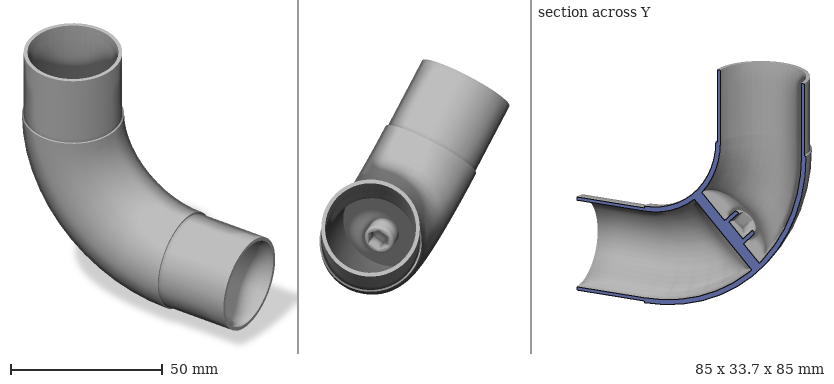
import cadquery as cq
import math

OVERALL = 85.0
SPIGOT_LENGTH = 25.0
BEND_DIAMETER = 33.7
SPIGOT_DIAMETER = 32.5
BORE_DIAMETER = 29.9

WEB_HALF_THICKNESS = 2.0
SCREW_RADIUS_FROM_PIVOT = 45.0
HEAD_DIAMETER = 10.0
HEAD_HEIGHT = 6.0
HEAD_FILLET = 0.9
SOCKET_ACROSS_FLATS = 7.0
SOCKET_DEPTH = 5.0
SOCKET_TURN = 19.0

BEND_CENTRE = OVERALL - SPIGOT_LENGTH
BEND_RADIUS = BEND_CENTRE - BEND_DIAMETER / 2
END_CENTRE = BEND_DIAMETER / 2
MID_BEND = math.sqrt(0.5)


def bend(diameter):
    """Quarter torus from the vertical leg round to the horizontal leg."""
    return (
        cq.Workplane("XY", origin=(END_CENTRE, 0, BEND_CENTRE))
        .circle(diameter / 2)
        .revolve(90, (BEND_RADIUS, 0, 0), (BEND_RADIUS, -1, 0))
    )


def legs(diameter):
    """The two straight ends, one pointing up and one pointing along X."""
    upright = (
        cq.Workplane("XY", origin=(END_CENTRE, 0, BEND_CENTRE))
        .circle(diameter / 2)
        .extrude(SPIGOT_LENGTH)
    )
    level = (
        cq.Workplane("YZ", origin=(BEND_CENTRE, 0, END_CENTRE))
        .circle(diameter / 2)
        .extrude(SPIGOT_LENGTH)
    )
    return upright.union(level)


def mid_plane(radius_from_pivot):
    """Plane halving the bend; its normal looks back up into the vertical leg."""
    place = BEND_CENTRE - radius_from_pivot * MID_BEND
    return cq.Plane(origin=(place, 0, place), xDir=(0, 1, 0), normal=(-1, 0, 1))


def web():
    """Solid partition following the bend, equally thick on both sides of its middle."""
    slab = (
        cq.Workplane(mid_plane(BEND_RADIUS))
        .circle(BEND_DIAMETER / 2)
        .extrude(WEB_HALF_THICKNESS, both=True)
    )
    return slab.intersect(bend(BEND_DIAMETER))


def screw_head():
    """Round head with a rounded rim and a hexagon socket."""
    head = (
        cq.Workplane(mid_plane(SCREW_RADIUS_FROM_PIVOT))
        .circle(HEAD_DIAMETER / 2)
        .extrude(WEB_HALF_THICKNESS + HEAD_HEIGHT)
        .faces(cq.selectors.DirectionMinMaxSelector(cq.Vector(-1, 0, 1)))
        .edges()
        .fillet(HEAD_FILLET)
    )
    socket = (
        cq.Workplane(mid_plane(SCREW_RADIUS_FROM_PIVOT))
        .workplane(offset=WEB_HALF_THICKNESS + HEAD_HEIGHT - SOCKET_DEPTH)
        .transformed(rotate=(0, 0, SOCKET_TURN))
        .polygon(6, SOCKET_ACROSS_FLATS, circumscribed=True)
        .extrude(SOCKET_DEPTH)
    )
    return head.cut(socket)


outside = bend(BEND_DIAMETER).union(legs(SPIGOT_DIAMETER))
bore = bend(BORE_DIAMETER).union(legs(BORE_DIAMETER))
cavity = bore.cut(web())
result = outside.cut(cavity).union(screw_head())